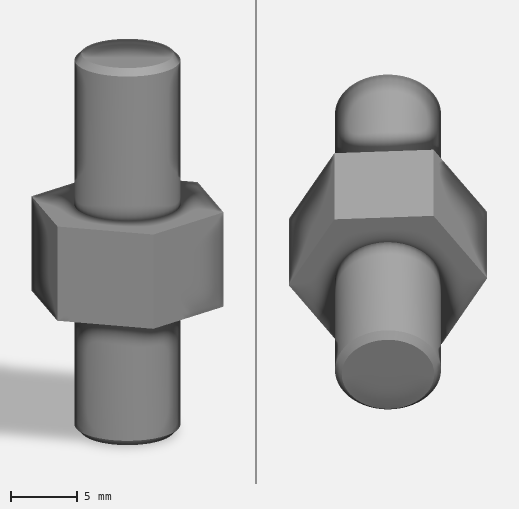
import cadquery as cq

total_length = 30.0
rod_diameter = 8.0
end_chamfer = 0.5
hex_across_corners = 15.0
hex_height = 7.5
hex_bottom = 10.5


def make_rod():
    """Round rod along Z with both ends chamfered."""
    rod = cq.Workplane("XY").circle(rod_diameter / 2).extrude(total_length)
    return rod.faces("<Z or >Z").chamfer(end_chamfer)


def make_hex_collar():
    """Hexagonal wrench collar with two corners on the X axis."""
    base = cq.Workplane("XY").workplane(offset=hex_bottom)
    return base.polygon(6, hex_across_corners).extrude(hex_height)


result = make_rod().union(make_hex_collar())